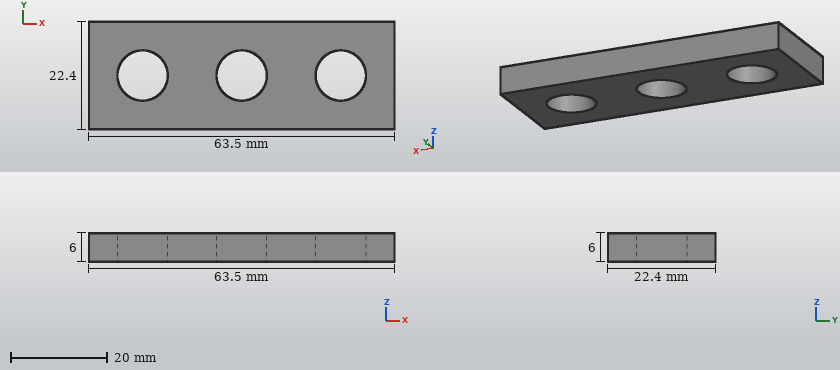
import cadquery as cq

length = 63.5
width = 22.35
thickness = 6.0

hole_diameter = 10.4
hole_count = 3
edge_wall = (width - hole_diameter) / 2
hole_pitch = (length - 2 * edge_wall - hole_diameter) / (hole_count - 1)

bar = cq.Workplane("XY").box(length, width, thickness)

result = (
    bar.faces(">Z")
    .workplane()
    .rarray(hole_pitch, 0.65, hole_count, 1)
    .hole(hole_diameter)
)